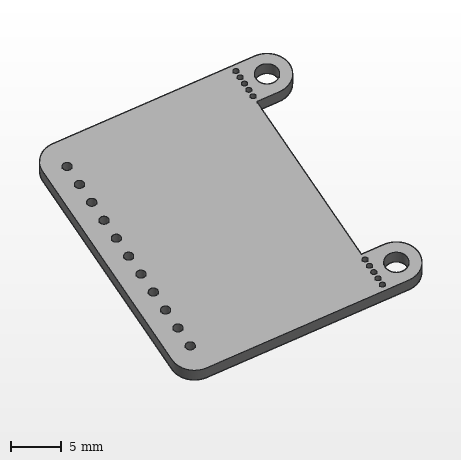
import cadquery as cq

board_width = 31.75
overall_length = 27.81
thickness = 1.6
corner_radius = 2.54

tab_width = 5.08
tab_radius = tab_width / 2
tab_length = 5.08
tab_hole_diameter = 2.5
body_length = overall_length - tab_length
tab_hole_y = overall_length - tab_radius
tab_centers_x = (tab_width / 2, board_width - tab_width / 2)

perforation_diameter = 0.6
perforation_pitch = 0.889
perforation_count = 5

pin_diameter = 1.0
pin_pitch = 2.54
pin_count = 11
pin_row_y = 2.413


def make_body():
    """Rectangular board with its two near corners rounded."""
    body = cq.Workplane("XY").box(board_width, body_length, thickness, centered=False)
    return body.edges("|Z and <Y").fillet(corner_radius)


def make_tab(center_x):
    """Round-ended tab that rises from the far edge of the board."""
    left = center_x - tab_radius
    right = center_x + tab_radius
    return (
        cq.Workplane("XY")
        .moveTo(left, body_length)
        .lineTo(right, body_length)
        .lineTo(right, tab_hole_y)
        .threePointArc((center_x, overall_length), (left, tab_hole_y))
        .close()
        .extrude(thickness)
    )


def row_points(center_x, y, pitch, count):
    """Evenly spaced points along X, centred on center_x."""
    first_x = center_x - pitch * (count - 1) / 2
    return [(first_x + i * pitch, y) for i in range(count)]


def make_holes(points, diameter):
    """Cylinders through the full thickness, for cutting."""
    return cq.Workplane("XY").pushPoints(points).circle(diameter / 2).extrude(thickness)


result = make_body()

for tab_x in tab_centers_x:
    perforations = row_points(tab_x, body_length, perforation_pitch, perforation_count)
    result = result.union(make_tab(tab_x))
    result = result.cut(make_holes([(tab_x, tab_hole_y)], tab_hole_diameter))
    result = result.cut(make_holes(perforations, perforation_diameter))

pins = row_points(board_width / 2, pin_row_y, pin_pitch, pin_count)
result = result.cut(make_holes(pins, pin_diameter)).clean()